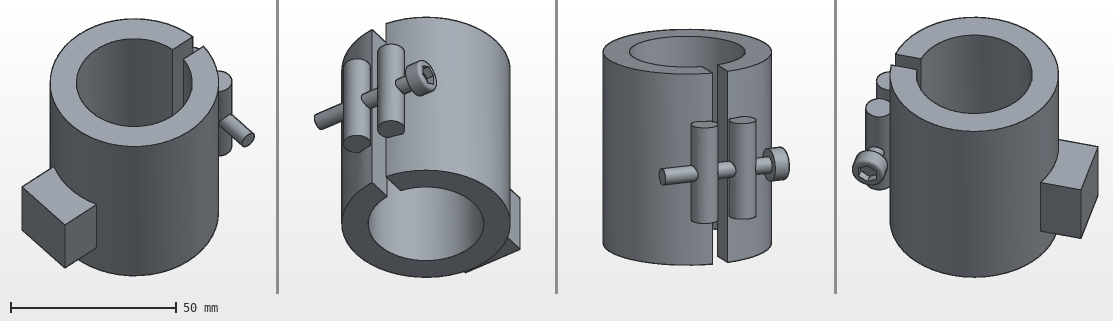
import cadquery as cq

sleeve_diameter = 51.0
bore_diameter = 35.0
sleeve_height = 60.0
slit_width = 5.0

block_size = 20.0
block_bottom = 10.05
block_face_y = -36.1

pin_diameter = 8.2
pin_length = sleeve_height / 2
pin_offset_x = 6.2
screw_y = 28.1
screw_z = sleeve_height / 2

head_diameter = 10.0
head_length = 5.0
head_fillet = 1.0
head_face_x = -19.85
shank_diameter = 5.0
shank_length = 35.0
socket_across_corners = 6.5
socket_depth = 2.5


def make_sleeve():
    slit = cq.Workplane("XY").box(
        slit_width, sleeve_diameter, sleeve_height, centered=(True, False, False)
    )
    ring = cq.Workplane("XY").circle(sleeve_diameter / 2).circle(bore_diameter / 2)
    return ring.extrude(sleeve_height).cut(slit)


def make_block():
    block = (
        cq.Workplane("XY")
        .box(block_size, -block_face_y, block_size, centered=(True, False, False))
        .translate((0, block_face_y, block_bottom))
    )
    bore = cq.Workplane("XY").circle(bore_diameter / 2).extrude(sleeve_height)
    return block.cut(bore)


def make_pins():
    return (
        cq.Workplane("XY", origin=(0, screw_y, screw_z - pin_length / 2))
        .pushPoints([(-pin_offset_x, 0), (pin_offset_x, 0)])
        .circle(pin_diameter / 2)
        .extrude(pin_length)
    )


def make_screw():
    face_plane = cq.Workplane("YZ", origin=(head_face_x, screw_y, screw_z))
    head = face_plane.circle(head_diameter / 2).extrude(head_length)
    head = head.faces("<X").edges().fillet(head_fillet)
    shank = (
        face_plane.workplane(offset=head_length)
        .circle(shank_diameter / 2)
        .extrude(shank_length)
    )
    socket = (
        face_plane.transformed(rotate=(0, 0, 90))
        .polygon(6, socket_across_corners)
        .extrude(socket_depth)
    )
    return head.union(shank).cut(socket)


result = make_sleeve().union(make_block()).union(make_pins()).union(make_screw())